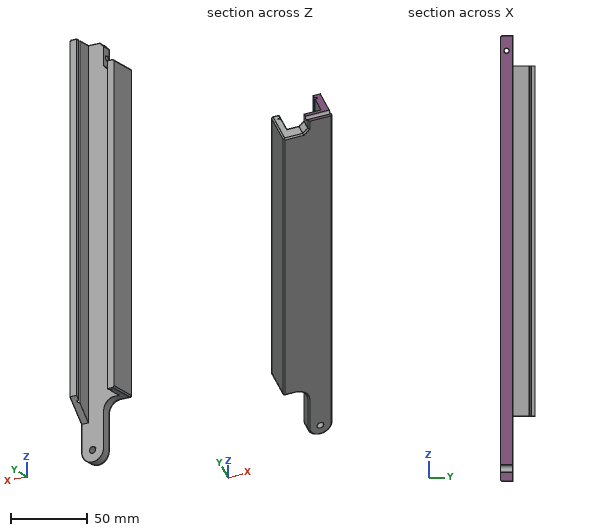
import cadquery as cq
import math

width = 34.3
depth = 22.8
length = 293.0

wall = 5.3
floor = 8.2
edge_chamfer = 1.03

tab_radius = 8.5
tab_left = width - 2 * tab_radius
tab_center_x = width - tab_radius
body_bottom = 42.8
body_top = 273.0
lower_fillet = 8.8
inner_corner_chamfer = 3.5
outer_corner_chamfer = 3.0

gusset_bottom = 28.0
gusset_top = gusset_bottom + depth - floor

pivot_hole_diameter = 4.7
pin_hole_diameter = 3.2
pin_hole_z = (body_top + length) / 2

groove_from_lip = 3.2
groove_half_width = 1.0
groove_depth = 1.8


def make_outline_block():
    """Full-depth block with the stepped outline and the rounded lower tab."""
    fillet_center_x = tab_left - lower_fillet
    fillet_center_z = body_bottom - lower_fillet
    fillet_mid = lower_fillet * math.sqrt(0.5)
    return (
        cq.Workplane("XZ")
        .moveTo(tab_left, tab_radius)
        .threePointArc((tab_center_x, 0), (width, tab_radius))
        .lineTo(width, length)
        .lineTo(tab_left + outer_corner_chamfer, length)
        .lineTo(tab_left, length - outer_corner_chamfer)
        .lineTo(tab_left, body_top + inner_corner_chamfer)
        .lineTo(tab_left - inner_corner_chamfer, body_top)
        .lineTo(0, body_top)
        .lineTo(0, body_bottom)
        .lineTo(fillet_center_x, body_bottom)
        .threePointArc(
            (fillet_center_x + fillet_mid, fillet_center_z + fillet_mid),
            (tab_left, fillet_center_z),
        )
        .close()
        .extrude(-depth)
    )


def chamfer_outer_edges(block):
    """Bevel the front outline and the outer end edges of the two side walls."""
    block = block.faces("<Y").edges().chamfer(edge_chamfer)
    block = block.faces("<X").edges("|Y").chamfer(edge_chamfer)
    return block.faces(">X").edges(">Z").chamfer(edge_chamfer)


def make_channel():
    """Space between the walls, open toward +Y and at both ends."""
    return cq.Workplane("XY").box(
        width - 2 * wall, depth - floor, length, centered=False
    ).translate((wall, floor, 0))


def make_gusset_cut():
    """Material removed below the sloping lower end of the far wall."""
    return (
        cq.Workplane("YZ")
        .moveTo(floor, 0)
        .lineTo(floor, gusset_bottom)
        .lineTo(depth, gusset_top)
        .lineTo(depth, 0)
        .close()
        .extrude(width)
    )


def make_groove(face_x, direction):
    """V groove running the whole length of one wall's inner face."""
    groove_y = depth - groove_from_lip
    return (
        cq.Workplane("XY")
        .moveTo(face_x, groove_y - groove_half_width)
        .lineTo(face_x + direction * groove_depth, groove_y)
        .lineTo(face_x, groove_y + groove_half_width)
        .close()
        .extrude(length)
    )


def make_pivot_hole():
    """Hole through the lower tab, concentric with its rounded end."""
    return (
        cq.Workplane("XZ")
        .center(tab_center_x, tab_radius)
        .circle(pivot_hole_diameter / 2)
        .extrude(-floor)
    )


def make_pin_hole():
    """Cross hole through the upper tab, centred in the floor thickness."""
    return (
        cq.Workplane("YZ")
        .center(floor / 2, pin_hole_z)
        .circle(pin_hole_diameter / 2)
        .extrude(width)
    )


result = chamfer_outer_edges(make_outline_block())
result = result.cut(make_channel()).cut(make_gusset_cut())
for face_x, direction in ((wall, -1), (width - wall, 1)):
    result = result.cut(make_groove(face_x, direction))
result = result.cut(make_pivot_hole()).cut(make_pin_hole())